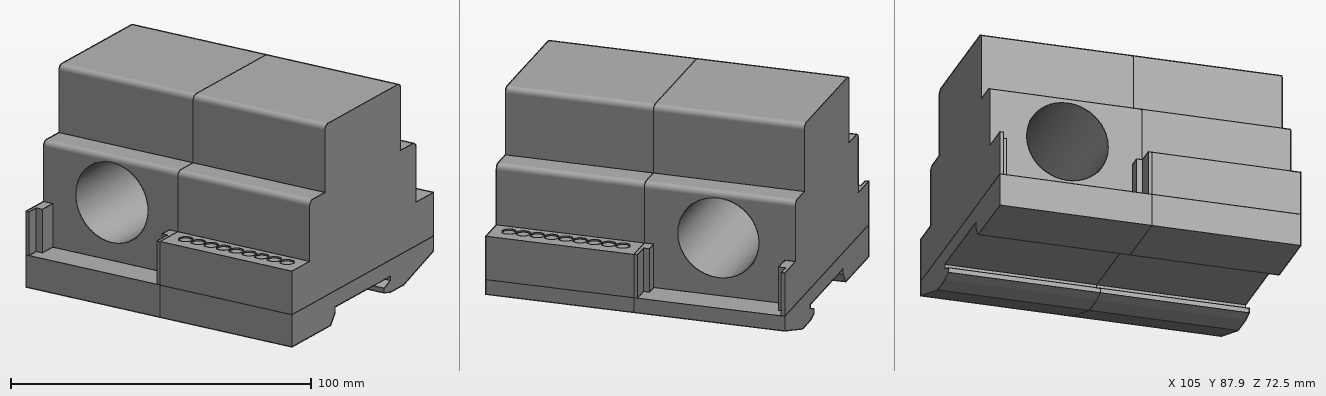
import cadquery as cq

total_length = 105.0
total_depth = 87.94
total_height = 72.5

transformer_length = 53.0
terminal_length = total_length - transformer_length
transformer_start = 0.0
terminal_start = transformer_start + transformer_length

half_depth = total_depth / 2
base_height = 11.5
shelf_height = 27.0
shoulder_height = 48.5
shoulder_half_depth = 33.0
top_half_depth = 23.5
edge_radius = 2.0

slot_half_depth = 17.1
slot_roof = 5.7
rear_slope_height = 6.2
rear_foot = 25.4
hook_root_height = 4.2
hook_tip = 13.2
hook_tip_top = 2.7
hook_tip_bottom = 1.0
jaw_corner_height = 3.7
jaw_foot = 19.9

bore_diameter = 28.5
bore_x = transformer_start + 27.0
bore_z = 32.1

wall_thickness = 1.25
left_rib_length = 3.7
left_rib_setback = 4.5
right_rib_length = 3.3
right_rib_setback = 6.5

screw_count = 9
screw_pitch = 5.0
screw_diameter = 4.8
screw_depth = 0.5
screw_row_y = 37.5


def make_base(start, length):
    """Bottom part of a module, clipped onto the rail."""
    outline = cq.Workplane("YZ", origin=(start, 0, 0)).polyline([
        (-half_depth, 0),
        (-jaw_foot, 0),
        (-slot_half_depth, jaw_corner_height),
        (-slot_half_depth, slot_roof),
        (slot_half_depth, slot_roof),
        (slot_half_depth, hook_root_height),
        (hook_tip, hook_tip_top),
        (hook_tip, hook_tip_bottom),
        (slot_half_depth, 0),
        (rear_foot, 0),
        (half_depth, rear_slope_height),
        (half_depth, base_height),
        (-half_depth, base_height),
    ])
    return outline.close().extrude(length)


def make_stepped_housing(start, length):
    """Upper part of a module: three steps, with the two upper steps rounded at their outer edges."""
    outline = (
        cq.Workplane("YZ", origin=(start, 0, 0))
        .moveTo(-half_depth, base_height)
        .lineTo(half_depth, base_height)
        .lineTo(half_depth, shelf_height)
        .lineTo(shoulder_half_depth, shelf_height)
        .lineTo(shoulder_half_depth, shoulder_height - edge_radius)
        .radiusArc((shoulder_half_depth - edge_radius, shoulder_height), -edge_radius)
        .lineTo(top_half_depth, shoulder_height)
        .lineTo(top_half_depth, total_height - edge_radius)
        .radiusArc((top_half_depth - edge_radius, total_height), -edge_radius)
        .lineTo(edge_radius - top_half_depth, total_height)
        .radiusArc((-top_half_depth, total_height - edge_radius), -edge_radius)
        .lineTo(-top_half_depth, shoulder_height)
        .lineTo(edge_radius - shoulder_half_depth, shoulder_height)
        .radiusArc((-shoulder_half_depth, shoulder_height - edge_radius), -edge_radius)
        .lineTo(-shoulder_half_depth, shelf_height)
        .lineTo(-half_depth, shelf_height)
    )
    return outline.close().extrude(length)


def make_front_bay():
    """Cutter for the open bay on the -Y side, leaving the two stepped end walls."""
    left = transformer_start
    right = transformer_start + transformer_length
    left_step_y = left_rib_setback - half_depth
    right_step_y = right_rib_setback - half_depth
    return (
        cq.Workplane("XY", origin=(0, 0, base_height))
        .polyline([
            (left + wall_thickness, -half_depth),
            (right - wall_thickness, -half_depth),
            (right - wall_thickness, right_step_y),
            (right - right_rib_length, right_step_y),
            (right - right_rib_length, -shoulder_half_depth),
            (left + left_rib_length, -shoulder_half_depth),
            (left + left_rib_length, left_step_y),
            (left + wall_thickness, left_step_y),
        ])
        .close()
        .extrude(shelf_height - base_height)
    )


def make_transformer_housing():
    """Upper part of the transformer module, with its cable bore and two open bays."""
    front_bay = make_front_bay()
    bore = (
        cq.Workplane("XZ", origin=(bore_x, half_depth, bore_z))
        .circle(bore_diameter / 2)
        .extrude(total_depth)
    )
    housing = make_stepped_housing(transformer_start, transformer_length)
    return housing.cut(front_bay).cut(front_bay.mirror("XZ")).cut(bore)


def make_terminal_housing():
    """Upper part of the terminal module, with a row of screw recesses on each shelf."""
    screws = (
        cq.Workplane("XY", origin=(terminal_start + terminal_length / 2, 0, shelf_height))
        .rarray(screw_pitch, 2 * screw_row_y, screw_count, 2)
        .circle(screw_diameter / 2)
        .extrude(-screw_depth)
    )
    return make_stepped_housing(terminal_start, terminal_length).cut(screws)


transformer_base = make_base(transformer_start, transformer_length)
terminal_base = make_base(terminal_start, terminal_length)
transformer_housing = make_transformer_housing()
terminal_housing = make_terminal_housing()

result = cq.Compound.makeCompound([
    transformer_base.val(),
    terminal_base.val(),
    transformer_housing.val(),
    terminal_housing.val(),
])